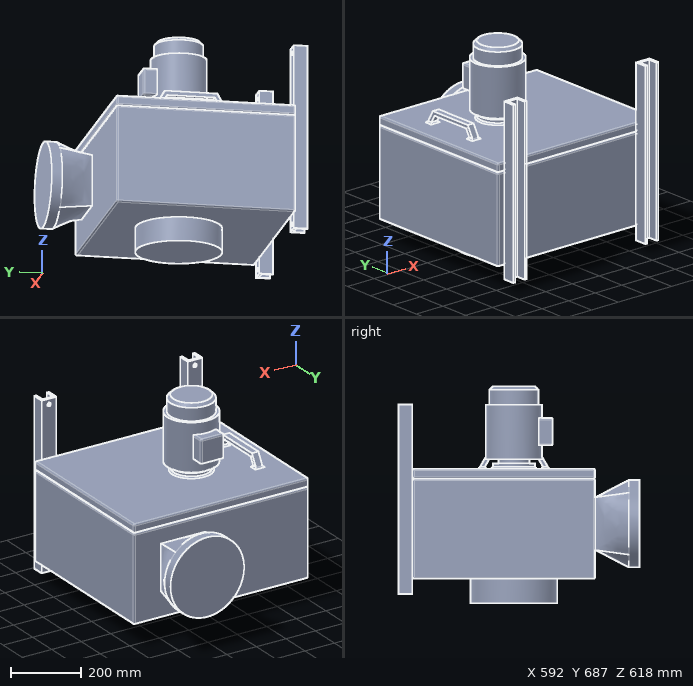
import cadquery as cq
import math

overall_depth = 687.0

housing_width = 592.0
housing_depth = 520.0
housing_height = 314.0
lid_height = 29.0
edge_radius = 5.0

rail_spacing = 494.5
rail_width = 50.0
rail_depth = 40.0
rail_wall = 7.5
rail_length = 540.0
rail_drop = 43.0
rail_hole_diameter = 11.0
rail_hole_inset = 18.0

bead_size = 5.0

motor_x = -48.0
motor_y = 289.0
flange_diameter = 120.0
flange_top = 14.5
neck_diameter = 89.0
body_diameter = 161.0
body_bottom = 26.0
body_top = 182.0
cap_diameter = 141.0
cap_top = 234.0
cap_chamfer = 10.0
inlet_diameter = 248.0
inlet_length = 70.0

terminal_size = 78.0
terminal_reach = 110.5
terminal_bottom = 66.0

outlet_x = 129.0
outlet_z = housing_height / 2
outlet_square = 150.0
outlet_diameter = 249.5
outlet_length = overall_depth - rail_depth - housing_depth
collar_length = 31.0

handle_x = -215.0
handle_width = 22.0
handle_height = 40.5
handle_thickness = 12.5
grip_half_length = 76.0
handle_half_length = 99.5


def rounded_box(bottom, height):
    """Block on the housing footprint with every edge rounded."""
    return (
        cq.Workplane("XY", origin=(0, housing_depth / 2, bottom))
        .box(housing_width, housing_depth, height, centered=(True, True, False))
        .edges()
        .fillet(edge_radius)
    )


def make_housing():
    """Body and lid, whose rounded edges meet in a groove around the seam."""
    body_height = housing_height - lid_height
    return rounded_box(0, body_height).union(rounded_box(body_height, lid_height))


def make_rail(x):
    """Vertical channel with its web on the housing and a hole near each end."""
    rail_middle_z = rail_length / 2 - rail_drop
    hole_spacing = rail_length - 2 * rail_hole_inset
    groove_depth = rail_depth - rail_wall
    rail = cq.Workplane("XY", origin=(x, -rail_depth / 2, rail_middle_z)).box(
        rail_width, rail_depth, rail_length
    )
    groove = cq.Workplane("XY", origin=(x, groove_depth / 2 - rail_depth, rail_middle_z)).box(
        rail_width - 2 * rail_wall, groove_depth, rail_length
    )
    holes = (
        cq.Workplane("XZ", origin=(x, 0, rail_middle_z))
        .rarray(7, hole_spacing, 1, 2)
        .circle(rail_hole_diameter / 2)
        .extrude(rail_depth)
    )
    return rail.cut(groove).cut(holes)


def make_motor():
    """Turned motor profile: flange with a bead at its foot, neck, body and chamfered cap."""
    flange_radius = flange_diameter / 2
    cap_radius = cap_diameter / 2
    return (
        cq.Workplane("XZ", origin=(motor_x, motor_y, housing_height))
        .moveTo(0, 0)
        .lineTo(flange_radius + bead_size, 0)
        .lineTo(flange_radius, bead_size)
        .lineTo(flange_radius, flange_top)
        .lineTo(neck_diameter / 2, flange_top)
        .lineTo(neck_diameter / 2, body_bottom)
        .lineTo(body_diameter / 2, body_bottom)
        .lineTo(body_diameter / 2, body_top)
        .lineTo(cap_radius, body_top)
        .lineTo(cap_radius, cap_top - cap_chamfer)
        .lineTo(cap_radius - cap_chamfer, cap_top)
        .lineTo(0, cap_top)
        .close()
        .revolve(360, (0, 0, 0), (0, 1, 0))
    )


def make_terminal_box():
    """Rounded box that reaches from the motor axis out through the back of the body."""
    return (
        cq.Workplane("XY", origin=(motor_x, motor_y, housing_height + terminal_bottom))
        .box(terminal_size, terminal_reach, terminal_size, centered=(True, False, False))
        .edges(">Y or |Y")
        .fillet(edge_radius)
    )


def make_inlet():
    """Round duct under the housing."""
    return (
        cq.Workplane("XY", origin=(motor_x, motor_y, -inlet_length))
        .circle(inlet_diameter / 2)
        .extrude(inlet_length)
    )


def make_outlet():
    """Square-to-round transition ending in a cylindrical collar."""
    cone_length = outlet_length - collar_length
    radius = outlet_diameter / 2
    diagonal = radius * math.sqrt(0.5)
    half = outlet_square / 2
    base = cq.Workplane("XZ", origin=(outlet_x, housing_depth, outlet_z))
    transition = (
        base.moveTo(-half, -half)
        .lineTo(half, -half)
        .lineTo(half, half)
        .lineTo(-half, half)
        .close()
        .workplane(offset=-cone_length)
        .moveTo(-diagonal, -diagonal)
        .threePointArc((0, -radius), (diagonal, -diagonal))
        .threePointArc((radius, 0), (diagonal, diagonal))
        .threePointArc((0, radius), (-diagonal, diagonal))
        .threePointArc((-radius, 0), (-diagonal, -diagonal))
        .close()
        .loft(ruled=True)
    )
    collar = base.workplane(offset=-cone_length).circle(radius).extrude(-collar_length)
    return transition.union(collar)


def make_handle():
    """Bent bar of constant thickness whose two feet flare out onto the lid."""
    leg_run = handle_half_length - grip_half_length
    leg_slope = leg_run / handle_height
    leg_width = handle_thickness * math.hypot(1, leg_slope)
    inner_half_length = handle_half_length - leg_width
    underside = handle_height - handle_thickness
    inner_grip_half = inner_half_length - underside * leg_slope
    bar = (
        cq.Workplane("YZ", origin=(handle_x, motor_y, housing_height))
        .moveTo(-handle_half_length, 0)
        .lineTo(-grip_half_length, handle_height)
        .lineTo(grip_half_length, handle_height)
        .lineTo(handle_half_length, 0)
        .lineTo(inner_half_length, 0)
        .lineTo(inner_grip_half, underside)
        .lineTo(-inner_grip_half, underside)
        .lineTo(-inner_half_length, 0)
        .close()
        .extrude(handle_width / 2, both=True)
    )
    foot_top_y = handle_half_length - leg_width / 2 - bead_size * leg_slope
    for side in (-1, 1):
        foot = (
            cq.Workplane("XY", origin=(handle_x, motor_y + side * foot_top_y, housing_height))
            .rect(handle_width + 2 * bead_size, leg_width + 2 * bead_size)
            .workplane(offset=bead_size)
            .rect(handle_width, leg_width)
            .loft(ruled=True)
        )
        bar = bar.union(foot)
    return bar


result = make_housing()
for rail_x in (-rail_spacing / 2, rail_spacing / 2):
    result = result.union(make_rail(rail_x))
for piece in (make_motor(), make_terminal_box(), make_inlet(), make_outlet(), make_handle()):
    result = result.union(piece)